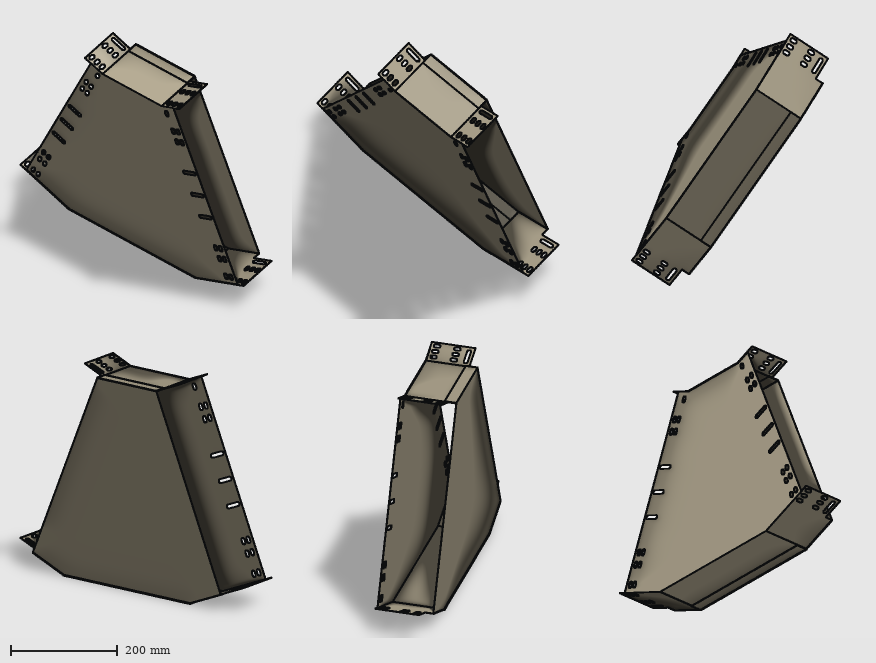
import cadquery as cq
import math

SHEET = 1.0
SLOPE = 22.5
HALF_SPAN = 265.5
TRAY_WIDTH = 401.5
LOWER_SLOPE = 124.5
FLANGE = 45.0
TIP_OVERHANG = 15.0
WALL_HEIGHT = 101.0
FLANGE_HEIGHT = 85.5
LIP_DEPTH = 23.5

SMALL_LENGTH = 13.0
LONG_LENGTH = 32.0
SLOT_WIDTH = 7.5
UPRIGHT = 90
FLANGE_SMALL_STEPS = (8.0, 21.0, 34.5)
FLANGE_SMALL_HEIGHTS = (12.0, 52.0)
FLANGE_LONG_HEIGHT = 75.5
BASE_COLUMNS = (11.0, 24.0)
BASE_PAIR_ROWS = (56.5, 81.0)
BASE_CORNER_ROW = 16.5
BASE_LONG_COLUMN = 21.0
BASE_LONG_PITCH = 50.0
CUT_REACH = 2 * SHEET

SIN = math.sin(math.radians(SLOPE))
COS = math.cos(math.radians(SLOPE))
MITRE = math.tan(math.radians(SLOPE / 2))


def toward_centre(point, distance):
    """Move a right-hand point down the slope, toward the centre plane."""
    return (point[0] - distance * COS, point[1] - distance * SIN)


LOWER_TIP = (HALF_SPAN, LOWER_SLOPE * SIN)
UPPER_TIP = (LOWER_TIP[0] - TRAY_WIDTH * SIN, LOWER_TIP[1] + TRAY_WIDTH * COS)
LOWER_BEND = toward_centre(LOWER_TIP, LOWER_SLOPE)
UPPER_BEND = toward_centre(UPPER_TIP, FLANGE)


def prism(right_half, start, end):
    """Extrude an outline, given by its right half, from Y = start to Y = end."""
    left_half = [(-x, z) for x, z in reversed(right_half)]
    plane = cq.Workplane("XZ", origin=(0, start, 0))
    return plane.polyline(right_half + left_half).close().extrude(start - end)


def both_sides(right_solid):
    """Pair a right-hand solid with its mirror image in the centre plane."""
    return right_solid.union(right_solid.mirror("YZ"))


def slots(plane, places, length, angle=0):
    """Slot-shaped cutters at the given places of a plane, reaching through the sheet both ways."""
    outline = cq.Workplane(plane).pushPoints(places).slot2D(length, SLOT_WIDTH, angle)
    return outline.extrude(CUT_REACH, both=True)


def folded_wall(bend, tip, offset):
    """Full-height wall between an outer face and the face offset from it (positive is up)."""
    inner_bend = (bend[0] - offset * MITRE, bend[1] + offset)
    inner_tip = (tip[0] - offset * SIN, tip[1] + offset * COS)
    return prism([inner_bend, inner_tip, tip, bend], 0, WALL_HEIGHT)


def flange_cuts(tip):
    """Cutter for the height step and the slots of the flanges at one wall's tips."""
    plane = cq.Plane(origin=(tip[0], 0, tip[1]), xDir=(-COS, 0, -SIN), normal=(SIN, 0, -COS))
    step_depth = WALL_HEIGHT - FLANGE_HEIGHT
    step = cq.Workplane(plane).center(0, FLANGE_HEIGHT + step_depth / 2).rect(2 * FLANGE, step_depth)
    small_places = [(x, y) for x in FLANGE_SMALL_STEPS for y in FLANGE_SMALL_HEIGHTS]
    small = slots(plane, small_places, SMALL_LENGTH, UPRIGHT)
    long = slots(plane, [(FLANGE / 2, FLANGE_LONG_HEIGHT)], LONG_LENGTH)
    return both_sides(step.extrude(CUT_REACH, both=True).union(small).union(long))


def base_slots(upper_corner):
    """Cutter for the slots along both end edges of the base plate."""
    plane = cq.Plane(
        origin=(upper_corner[0], 0, upper_corner[1]), xDir=(-COS, 0, -SIN), normal=(0, -1, 0)
    )
    pair_rows = [*BASE_PAIR_ROWS, *[TRAY_WIDTH - row for row in BASE_PAIR_ROWS]]
    small_places = [(x, row) for x in BASE_COLUMNS for row in pair_rows]
    small_places += [(x, TRAY_WIDTH - BASE_CORNER_ROW) for x in BASE_COLUMNS]
    small_places.append((BASE_COLUMNS[-1], BASE_CORNER_ROW))
    long_places = [(BASE_LONG_COLUMN, TRAY_WIDTH / 2 + i * BASE_LONG_PITCH) for i in (-1, 0, 1)]
    small = slots(plane, small_places, SMALL_LENGTH, UPRIGHT)
    return both_sides(small.union(slots(plane, long_places, LONG_LENGTH)))


def make_tray():
    """Base plate joined to both walls, then slotted and stepped."""
    upper_corner = toward_centre(UPPER_TIP, TIP_OVERHANG)
    lower_corner = toward_centre(LOWER_TIP, TIP_OVERHANG)
    base = prism([UPPER_BEND, upper_corner, lower_corner, LOWER_BEND], 0, SHEET)
    tray = base.union(folded_wall(UPPER_BEND, UPPER_TIP, -SHEET))
    tray = tray.union(folded_wall(LOWER_BEND, LOWER_TIP, SHEET))
    tray = tray.cut(base_slots(upper_corner))
    return tray.cut(flange_cuts(UPPER_TIP)).cut(flange_cuts(LOWER_TIP))


def cover_lip(bend, offset):
    """Flat lip against the middle stretch of a wall, on the side given by the offset."""
    outer = (bend[0], bend[1] + offset)
    rim = WALL_HEIGHT + SHEET
    return prism([bend, outer], rim - LIP_DEPTH, rim)


def make_cover():
    """Plate that leaves the flanges clear, joined to its two lips."""
    lower_corner = toward_centre(LOWER_TIP, FLANGE)
    plate = prism([UPPER_BEND, lower_corner, LOWER_BEND], WALL_HEIGHT, WALL_HEIGHT + SHEET)
    return plate.union(cover_lip(UPPER_BEND, SHEET)).union(cover_lip(LOWER_BEND, -SHEET))


tray = make_tray()
cover = make_cover()
result = cq.Compound.makeCompound([tray.val(), cover.val()])